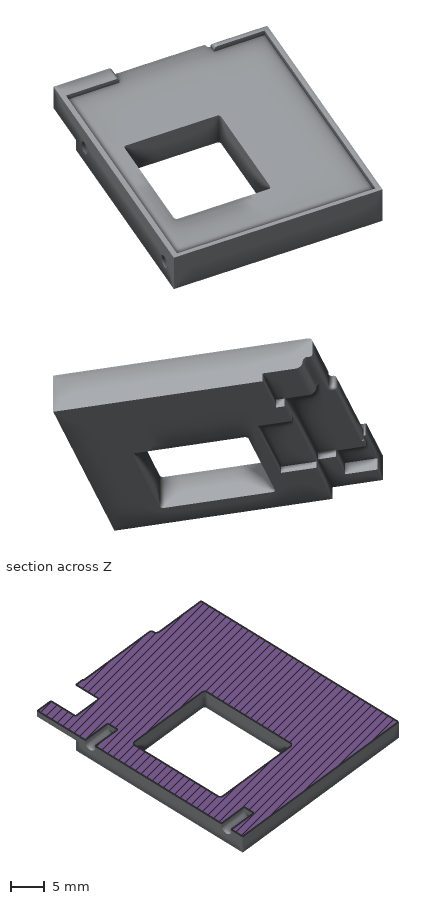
import cadquery as cq
import math

LENGTH = 41.05
WIDTH = 34.15
HEIGHT = 6.3

TRAY_DEPTH = 0.9
SIDE_RIM = 0.82
RIGHT_RIM = 0.65
LEFT_RIM_INNER_X = 2.55
FLOOR_Z = HEIGHT - TRAY_DEPTH

BODY_X = 7.7
PLATE_BOTTOM_Z = 3.08
PLATE_EDGE_X = 0.33
REAR_EDGE_X = 1.4
STEP_Y = 24.55
STEP_RADIUS = 0.5
PLATE_TOP_RADIUS = 0.5
PLATE_BOTTOM_RADIUS = 0.4
RIM_RADIUS = 0.65
REAR_RIM_START_Y = STEP_Y + STEP_RADIUS

BLOCK_END_Y = 9.6
BLOCK_BOTTOM_Z = 2.0
COLUMN_WIDTH = 3.0
UNDERCUT_END_Y = 8.05
UNDERCUT_TOP_Z = 4.0
UNDERCUT_DEPTH = 4.92
UNDERCUT_FILLET = 0.45

LIP_X = 2.87
LIP_START_Y = 26.6
LIP_BOTTOM_Z = 1.35
REAR_NOTCH_X = 9.03
LIP_ROOT_RADIUS = 0.6
LIP_RADIUS = PLATE_BOTTOM_Z - LIP_ROOT_RADIUS - LIP_BOTTOM_Z

WINDOW_X = (15.23, 32.85)
WINDOW_Y = (4.15, 19.9)
WINDOW_RADIUS = 0.5
CHANNEL_Y = (8.95, 22.35)
CHANNEL_END_X = 13.15
CHANNEL_HEIGHT = 1.05

HOLE_DIAMETER = 2.0
HOLE_DEPTH = 4.92
HOLE_Z = 2.85
HOLE_XS = (10.55, 37.75)

DIAGONAL = math.sqrt(0.5)


def box(x_range, y_range, z_range):
    """Box between the given pairs of limits."""
    size = [high - low for low, high in (x_range, y_range, z_range)]
    corner = (x_range[0], y_range[0], z_range[0])
    return cq.Workplane("XY").box(*size, centered=False).translate(corner)


def make_plate():
    """Overhanging plate with a stepped left edge, rounded above and below."""
    r = STEP_RADIUS
    arc_offset = r * (1 - DIAGONAL)
    outline = (
        cq.Workplane("XY", origin=(0, 0, PLATE_BOTTOM_Z))
        .moveTo(PLATE_EDGE_X, BLOCK_END_Y)
        .lineTo(PLATE_EDGE_X, STEP_Y - r)
        .threePointArc((PLATE_EDGE_X + arc_offset, STEP_Y - arc_offset), (PLATE_EDGE_X + r, STEP_Y))
        .lineTo(REAR_EDGE_X - r, STEP_Y)
        .threePointArc((REAR_EDGE_X - arc_offset, STEP_Y + arc_offset), (REAR_EDGE_X, STEP_Y + r))
        .lineTo(REAR_EDGE_X, WIDTH)
        .lineTo(LENGTH, WIDTH)
        .lineTo(LENGTH, BLOCK_END_Y)
        .close()
    )
    plate = outline.extrude(FLOOR_Z - PLATE_BOTTOM_Z)
    bottom_edge = cq.selectors.BoxSelector(
        (0, BLOCK_END_Y + r, PLATE_BOTTOM_Z - r / 2),
        (REAR_EDGE_X + r / 2, WIDTH - r, PLATE_BOTTOM_Z + r / 2),
    )
    plate = plate.edges(bottom_edge).fillet(PLATE_BOTTOM_RADIUS)
    return plate.cut(make_top_rounding())


def make_top_rounding():
    """Waste to remove along the forward top edge, leaving a quarter round."""
    r = PLATE_TOP_RADIUS
    bar = box((PLATE_EDGE_X, PLATE_EDGE_X + r), (BLOCK_END_Y, STEP_Y), (FLOOR_Z - r, FLOOR_Z))
    kept_round = (
        cq.Workplane("XZ", origin=(PLATE_EDGE_X + r, BLOCK_END_Y, FLOOR_Z - r))
        .circle(r)
        .extrude(BLOCK_END_Y - STEP_Y)
    )
    return bar.cut(kept_round)


def make_rear_rim():
    """Rear left rim with its outer and end top edges rounded."""
    rim = box((REAR_EDGE_X, LEFT_RIM_INNER_X), (REAR_RIM_START_Y, WIDTH), (FLOOR_Z, HEIGHT))
    return rim.faces(">Z").edges("<X or <Y").fillet(RIM_RADIUS)


def make_front_block():
    """Front left corner block, undercut behind a corner column."""
    upper = box((0, LEFT_RIM_INNER_X), (0, BLOCK_END_Y), (UNDERCUT_TOP_Z, HEIGHT))
    upper = upper.faces(">Z").edges(">Y").fillet(RIM_RADIUS)
    base = box((0, BODY_X), (0, UNDERCUT_END_Y), (BLOCK_BOTTOM_Z, FLOOR_Z))
    undercut = box((0, UNDERCUT_DEPTH), (COLUMN_WIDTH, UNDERCUT_END_Y), (BLOCK_BOTTOM_Z, UNDERCUT_TOP_Z))
    tab = box((PLATE_EDGE_X, BODY_X), (UNDERCUT_END_Y, BLOCK_END_Y), (PLATE_BOTTOM_Z, FLOOR_Z))
    r = UNDERCUT_FILLET
    root = (
        cq.Workplane("YZ", origin=(UNDERCUT_DEPTH, 0, 0))
        .moveTo(UNDERCUT_END_Y, PLATE_BOTTOM_Z)
        .lineTo(UNDERCUT_END_Y + r, PLATE_BOTTOM_Z)
        .threePointArc(
            (UNDERCUT_END_Y + r * (1 - DIAGONAL), PLATE_BOTTOM_Z - r * (1 - DIAGONAL)),
            (UNDERCUT_END_Y, PLATE_BOTTOM_Z - r),
        )
        .close()
        .extrude(BODY_X - UNDERCUT_DEPTH)
    )
    return base.cut(undercut).union(upper).union(tab).union(root)


def make_rear_lip():
    """Lip under the plate with a concave root and a rounded lower edge."""
    root = LIP_ROOT_RADIUS
    root_offset = root * (1 - DIAGONAL)
    lip_offset = LIP_RADIUS * (1 - DIAGONAL)
    return (
        cq.Workplane("XZ", origin=(0, WIDTH, 0))
        .moveTo(LIP_X - root, PLATE_BOTTOM_Z)
        .threePointArc(
            (LIP_X - root_offset, PLATE_BOTTOM_Z - root_offset),
            (LIP_X, PLATE_BOTTOM_Z - root),
        )
        .threePointArc(
            (LIP_X + lip_offset, LIP_BOTTOM_Z + lip_offset),
            (LIP_X + LIP_RADIUS, LIP_BOTTOM_Z),
        )
        .lineTo(BODY_X, LIP_BOTTOM_Z)
        .lineTo(BODY_X, PLATE_BOTTOM_Z)
        .close()
        .extrude(WIDTH - LIP_START_Y)
    )


def make_rims():
    """Front, rear and right rims around the tray."""
    front = box((0, LENGTH), (0, SIDE_RIM), (FLOOR_Z, HEIGHT))
    rear = box((LEFT_RIM_INNER_X, LENGTH), (WIDTH - SIDE_RIM, WIDTH), (FLOOR_Z, HEIGHT))
    right = box((LENGTH - RIGHT_RIM, LENGTH), (0, WIDTH), (FLOOR_Z, HEIGHT))
    return front.union(rear).union(right)


body = box((BODY_X, LENGTH), (0, WIDTH), (0, FLOOR_Z))
for feature in (make_plate(), make_front_block(), make_rear_lip(), make_rims(), make_rear_rim()):
    body = body.union(feature)

window = box(WINDOW_X, WINDOW_Y, (0, HEIGHT)).edges("|Z").fillet(WINDOW_RADIUS)
channel = box((BODY_X, CHANNEL_END_X), CHANNEL_Y, (0, CHANNEL_HEIGHT))
rear_notch = box((BODY_X, REAR_NOTCH_X), (LIP_START_Y, WIDTH), (0, LIP_BOTTOM_Z))
holes = (
    cq.Workplane("XZ")
    .pushPoints([(x, HOLE_Z) for x in HOLE_XS])
    .circle(HOLE_DIAMETER / 2)
    .extrude(-HOLE_DEPTH)
)

result = body.cut(window).cut(channel).cut(rear_notch).cut(holes)